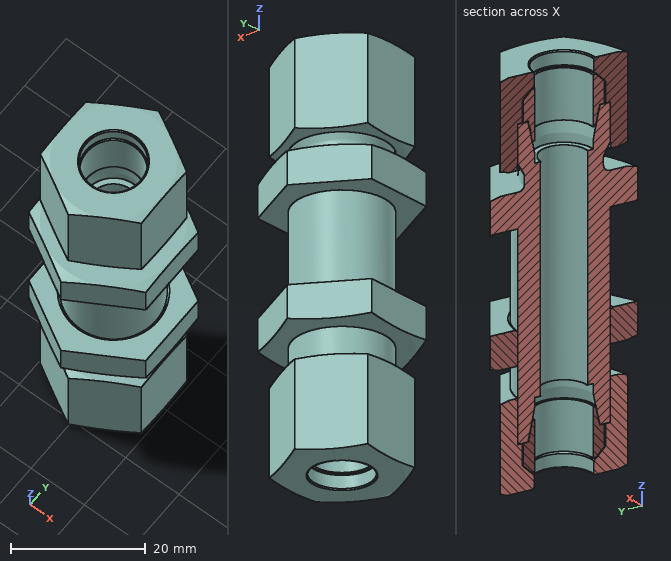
import cadquery as cq
import math

total_length = 68.0
cap_nut_length = 15.5
collar_top = 49.0
collar_thickness = 6.05
collar_bottom = collar_top - collar_thickness
lock_nut_bottom = 20.7
lock_nut_thickness = 6.0
nut_cover = 7.9
body_bottom = nut_cover
body_top = total_length - nut_cover

collar_across_flats = 22.0
cap_across_flats = 19.05
flat_inset = 0.1
hex_chamfer_angle = 15.0

thread_diameter = 16.0
through_bore_diameter = 8.0
tube_diameter = 10.0
tube_socket_depth = 7.0
cone_mouth_diameter = 12.3
cone_half_angle = 12.0

relief_diameter = 13.7
relief_fillet = 1.0
relief_straight_length = 1.2
relief_ramp_angle = 30.0

tube_hole_diameter = 10.2
tube_hole_depth = 2.4
rim_chamfer = 0.2
cavity_diameter = 14.35

ring_diameter = 14.0
ring_nose_length = 3.4
ring_setback = 0.4

lock_nut_countersink = 0.35


def half(diameter):
    return diameter / 2


def cone_length(radial, angle):
    """Axial length of a cone that changes its radius by `radial` at `angle` degrees to the axis."""
    return radial / math.tan(math.radians(angle))


def revolve(profile):
    """Turn a closed profile drawn as (radius, height) about the Z axis."""
    return profile.close().revolve(360, (0, 0, 0), (0, 1, 0))


def hexagon(across_flats, bottom, height):
    """Hexagonal prism with two corners on the Y axis."""
    across_corners = across_flats / math.cos(math.radians(30))
    prism = cq.Workplane("XY").polygon(6, across_corners).extrude(height)
    return prism.rotate((0, 0, 0), (0, 0, 1), 30).translate((0, 0, bottom))


def chamfer_envelope(across_flats, bottom, height, chamfer_bottom, chamfer_top):
    """Round blank with conical ends that trims the corners of a hexagon."""
    flat_radius = half(across_flats) - flat_inset
    outer_radius = across_flats
    rise = (outer_radius - flat_radius) * math.tan(math.radians(hex_chamfer_angle))
    top = bottom + height
    profile = cq.Workplane("XZ").moveTo(0, bottom)
    if chamfer_bottom:
        profile = profile.lineTo(flat_radius, bottom).lineTo(outer_radius, bottom + rise)
    else:
        profile = profile.lineTo(outer_radius, bottom)
    if chamfer_top:
        profile = profile.lineTo(outer_radius, top - rise).lineTo(flat_radius, top)
    else:
        profile = profile.lineTo(outer_radius, top)
    return revolve(profile.lineTo(0, top))


def chamfered_hexagon(across_flats, bottom, height, chamfer_bottom, chamfer_top):
    """Hexagon with its corners trimmed at the chosen ends."""
    envelope = chamfer_envelope(across_flats, bottom, height, chamfer_bottom, chamfer_top)
    return hexagon(across_flats, bottom, height).intersect(envelope)


def mirror_to_bottom(shape):
    """Copy of a part of the upper joint, placed at the lower end."""
    return shape.mirror("XY", (0, 0, total_length / 2))


def make_thread_relief():
    """Ring-shaped cut between the collar and the upper thread."""
    neck = half(relief_diameter)
    ramp = math.radians(relief_ramp_angle)
    straight_bottom = collar_top + relief_fillet
    straight_top = straight_bottom + relief_straight_length
    fillet_45 = relief_fillet * math.sqrt(0.5)
    arc_end = (
        neck + relief_fillet * (1 - math.cos(ramp)),
        straight_top + relief_fillet * math.sin(ramp),
    )
    arc_middle = (
        neck + relief_fillet * (1 - math.cos(ramp / 2)),
        straight_top + relief_fillet * math.sin(ramp / 2),
    )
    thread_radius = half(thread_diameter)
    ramp_top = arc_end[1] + cone_length(thread_radius - arc_end[0], relief_ramp_angle)
    return revolve(
        cq.Workplane("XZ")
        .moveTo(thread_radius, collar_top)
        .lineTo(neck + relief_fillet, collar_top)
        .threePointArc(
            (neck + relief_fillet - fillet_45, straight_bottom - fillet_45),
            (neck, straight_bottom),
        )
        .lineTo(neck, straight_top)
        .threePointArc(arc_middle, arc_end)
        .lineTo(thread_radius, ramp_top)
    )


def make_tube_socket():
    """Conical mouth and tube seat cut into the upper end of the body."""
    tube_radius = half(tube_diameter)
    mouth_radius = half(cone_mouth_diameter)
    cone_bottom = body_top - cone_length(mouth_radius - tube_radius, cone_half_angle)
    seat = body_top - tube_socket_depth
    return revolve(
        cq.Workplane("XZ")
        .moveTo(0, seat)
        .lineTo(tube_radius, seat)
        .lineTo(tube_radius, cone_bottom)
        .lineTo(mouth_radius, body_top)
        .lineTo(0, body_top)
    )


def make_body():
    barrel = (
        cq.Workplane("XY", origin=(0, 0, body_bottom))
        .circle(half(thread_diameter))
        .extrude(body_top - body_bottom)
    )
    bore = (
        cq.Workplane("XY", origin=(0, 0, body_bottom))
        .circle(half(through_bore_diameter))
        .extrude(body_top - body_bottom)
    )
    collar = chamfered_hexagon(collar_across_flats, collar_bottom, collar_thickness, False, True)
    socket = make_tube_socket()
    blank = barrel.cut(make_thread_relief()).union(collar)
    return blank.cut(bore).cut(socket).cut(mirror_to_bottom(socket))


def make_cap_nut():
    """Cap nut of the upper joint, bored from the rim down to the thread."""
    nut_bottom = total_length - cap_nut_length
    hole_radius = half(tube_hole_diameter)
    cavity_radius = half(cavity_diameter)
    thread_radius = half(thread_diameter)
    hole_bottom = total_length - tube_hole_depth
    cavity_top = hole_bottom - (cavity_radius - hole_radius)
    bore = revolve(
        cq.Workplane("XZ")
        .moveTo(0, nut_bottom)
        .lineTo(thread_radius, nut_bottom)
        .lineTo(thread_radius, body_top)
        .lineTo(cavity_radius, body_top)
        .lineTo(cavity_radius, cavity_top)
        .lineTo(hole_radius, hole_bottom)
        .lineTo(hole_radius, total_length - rim_chamfer)
        .lineTo(hole_radius + rim_chamfer, total_length)
        .lineTo(0, total_length)
    )
    return chamfered_hexagon(cap_across_flats, nut_bottom, cap_nut_length, True, True).cut(bore)


def make_cutting_ring():
    """Ring of the upper joint, seated in the body cone and under the 45 degree cone of the nut."""
    inner_radius = half(tube_diameter)
    outer_radius = half(ring_diameter)
    mouth_radius = half(cone_mouth_diameter)
    rear_radius = half(tube_hole_diameter) + ring_setback
    nose_radius = mouth_radius - ring_nose_length * math.tan(math.radians(cone_half_angle))
    nose = body_top - ring_nose_length
    rear = total_length - tube_hole_depth - ring_setback
    return revolve(
        cq.Workplane("XZ")
        .moveTo(inner_radius, nose)
        .lineTo(nose_radius, nose)
        .lineTo(mouth_radius, body_top)
        .lineTo(outer_radius, body_top)
        .lineTo(outer_radius, rear - (outer_radius - rear_radius))
        .lineTo(rear_radius, rear)
        .lineTo(inner_radius, rear)
    )


def make_lock_nut():
    """Hexagonal nut on the barrel, chamfered below and countersunk above."""
    nut_top = lock_nut_bottom + lock_nut_thickness
    thread_radius = half(thread_diameter)
    bore = revolve(
        cq.Workplane("XZ")
        .moveTo(0, lock_nut_bottom)
        .lineTo(thread_radius, lock_nut_bottom)
        .lineTo(thread_radius, nut_top - lock_nut_countersink)
        .lineTo(thread_radius + lock_nut_countersink, nut_top)
        .lineTo(0, nut_top)
    )
    blank = chamfered_hexagon(collar_across_flats, lock_nut_bottom, lock_nut_thickness, True, False)
    return blank.cut(bore)


body = make_body()
lock_nut = make_lock_nut()
cap_nuts = []
cutting_rings = []
for at_bottom in (False, True):
    cap_nut = make_cap_nut()
    cutting_ring = make_cutting_ring()
    if at_bottom:
        cap_nut = mirror_to_bottom(cap_nut)
        cutting_ring = mirror_to_bottom(cutting_ring)
    cap_nuts.append(cap_nut.val())
    cutting_rings.append(cutting_ring.val())

result = cq.Compound.makeCompound([body.val(), lock_nut.val(), *cap_nuts, *cutting_rings])